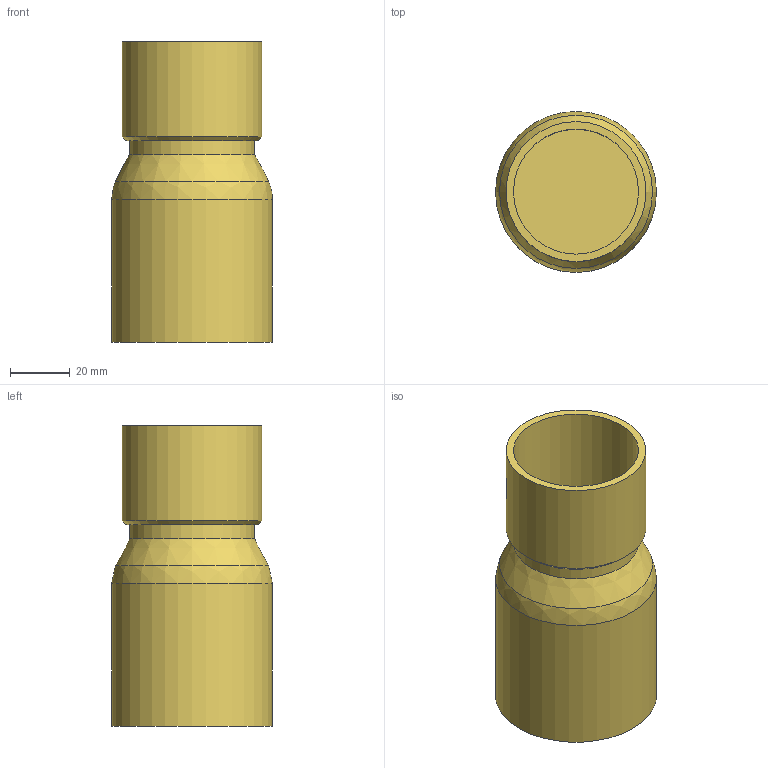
import cadquery as cq

body_radius = 54 / 2
body_height = 48
shoulder_edge_radius = 51.4 / 2
shoulder_edge_z = 54

neck_radius = 42 / 2
neck_bottom_z = 63

total_height = 101
collar_radius = 47 / 2
collar_chamfer = 1.25
socket_radius = 42 / 2
socket_depth = 32
socket_floor_z = total_height - socket_depth
collar_bottom_z = socket_floor_z - collar_chamfer


def make_outside():
    """Solid of revolution about Z; the half section runs up the outside from the base."""
    half_section = (
        cq.Workplane("XZ")
        .lineTo(body_radius, 0)
        .lineTo(body_radius, body_height)
        .tangentArcPoint((shoulder_edge_radius, shoulder_edge_z), relative=False)
        .tangentArcPoint((neck_radius, neck_bottom_z), relative=False)
        .lineTo(neck_radius, collar_bottom_z)
        .lineTo(collar_radius - collar_chamfer, collar_bottom_z)
        .lineTo(collar_radius, socket_floor_z)
        .lineTo(collar_radius, total_height)
        .lineTo(0, total_height)
        .close()
    )
    return half_section.revolve(360, (0, 0), (0, 1))


def make_socket():
    """Blind round socket that opens at the top of the collar."""
    return (
        cq.Workplane("XY")
        .workplane(offset=socket_floor_z)
        .circle(socket_radius)
        .extrude(socket_depth)
    )


result = make_outside().cut(make_socket())